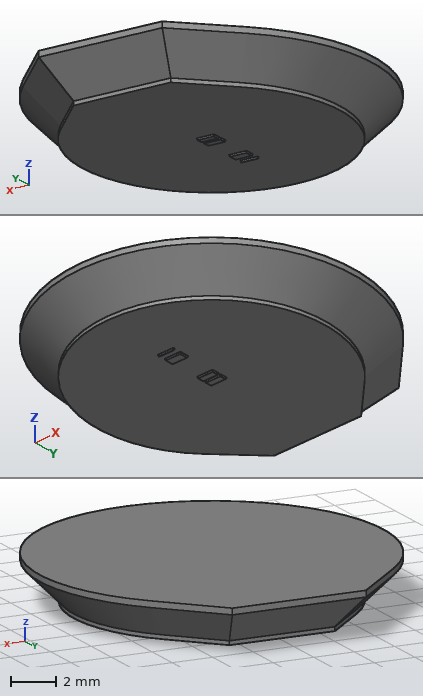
import cadquery as cq
import math

total_height = 2.3
rim_radius = 8.48
flat_distance = 8.69
rim_height = 0.31
lip_height = 0.2
base_inset = 1.7
bar_height = 0.09
bar_length = 0.93
bar_draft = 0.03
bars = [(0.27, 0.41), (-0.24, 0.41), (-2.32, 0.52), (-2.99, 0.1)]

base_z = bar_height
cone_z = base_z + lip_height
rim_z = total_height - rim_height
cone_height = rim_z - cone_z


def outline(z, inset):
    """Disc outline with two 45 degree tangents running up to a flat on +Y."""
    radius = rim_radius - inset
    flat_y = flat_distance - inset
    tangent = radius * math.sin(math.radians(45))
    flat_half = 2 * tangent - flat_y
    return (
        cq.Workplane("XY", origin=(0, 0, z))
        .moveTo(flat_half, flat_y)
        .lineTo(-flat_half, flat_y)
        .lineTo(-tangent, tangent)
        .threePointArc((0, -radius), (tangent, tangent))
        .close()
    )


def raised_bar(center_y, width):
    """Low bar across the underside that widens from its tip up to the base."""
    return (
        cq.Workplane("XY", origin=(0, center_y, 0))
        .rect(bar_length - 2 * bar_draft, width - 2 * bar_draft)
        .workplane(offset=bar_height)
        .rect(bar_length, width)
        .loft()
    )


flank_angle = math.degrees(math.atan2(base_inset, cone_height))
rim = outline(rim_z, 0).extrude(rim_height)
flank = outline(rim_z, 0).extrude(-cone_height, taper=flank_angle)
lip = outline(base_z, base_inset).extrude(lip_height)
result = rim.union(flank).union(lip)

for bar_y, bar_width in bars:
    result = result.union(raised_bar(bar_y, bar_width))